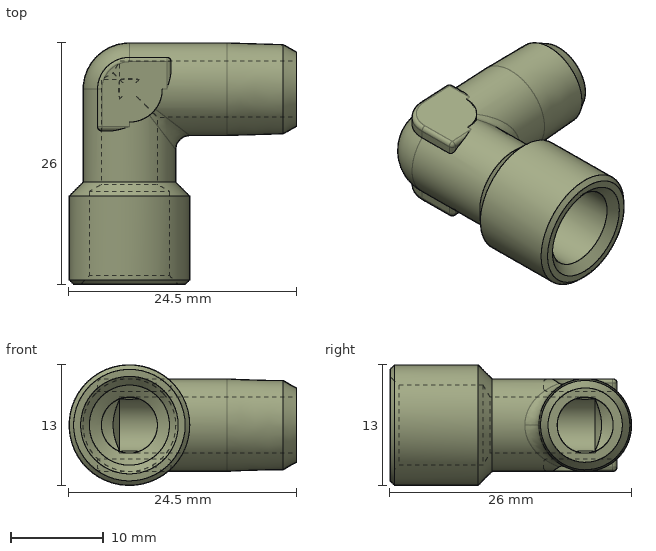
import cadquery as cq
import math

body_radius = 5.0
inner_corner_radius = 1.5

overall_length = 26.0
socket_end = overall_length - body_radius
socket_radius = 6.5
shoulder_start = 10.01
shoulder_length = socket_radius - body_radius
rim_chamfer = 0.5
mouth_radius = 5.25
socket_bore_radius = 4.32
countersink_depth = 0.94
socket_depth = 10.01

spigot_end = 18.0
taper_start = 10.5
spigot_collar_length = 0.5
taper_end = 16.57
taper_end_radius = 4.8
spigot_tip_radius = 4.0

bore_radius = 3.02
bore_overrun = 1.05
drill_tip_angle = 120.0

pad_half_width = 3.43
pad_reach = 4.5
pad_edge_radius = 0.47
pad_inner_radius = 3.55


def along_x(profile):
    """Revolve (distance, radius) points about the X axis."""
    return cq.Workplane("XY").polyline(profile).close().revolve(360, (0, 0, 0), (1, 0, 0))


def along_minus_y(profile):
    """Revolve (distance, radius) points about the Y axis, with distance measured towards -Y."""
    points = [(radius, -distance) for distance, radius in profile]
    return cq.Workplane("XY").polyline(points).close().revolve(360, (0, 0, 0), (0, 1, 0))


def make_pad():
    """Upper pad: rounded outer rim, with a plain quarter-disc wall inside the elbow."""
    side = pad_half_width + pad_reach
    center = (pad_reach - pad_half_width) / 2
    pad = cq.Workplane("XY").center(center, -center).rect(side, side).extrude(body_radius)
    pad = pad.edges("|Z").edges("<X and >Y").fillet(pad_half_width)
    pad = pad.edges("|Z").edges(">X or <Y").fillet(pad_edge_radius)
    pad = pad.faces(">Z").edges().fillet(pad_edge_radius)
    inner_quadrant = cq.Workplane("XY").box(side, side, body_radius, centered=False)
    inner_quadrant = inner_quadrant.translate((0, -side, 0))
    inner_disc = cq.Workplane("XY").circle(pad_inner_radius).extrude(body_radius)
    return pad.cut(inner_quadrant).union(inner_disc.intersect(inner_quadrant))


def make_body():
    """Two equal arms joined by a ball corner, with pads and a rounded inner corner."""
    spigot_start = taper_start - spigot_collar_length
    arm_x = along_x([(0, 0), (0, body_radius), (spigot_start, body_radius), (spigot_start, 0)])
    arm_y = along_minus_y([(0, 0), (0, body_radius), (shoulder_start, body_radius), (shoulder_start, 0)])
    corner = cq.Workplane("XY").sphere(body_radius)
    pad = make_pad()
    body = arm_x.union(arm_y).union(corner).union(pad).union(pad.mirror("XY"))
    near_corner = cq.selectors.BoxSelector(
        (pad_inner_radius, -pad_inner_radius, -body_radius / 2),
        (body_radius, -body_radius, body_radius / 2),
    )
    return body.edges(near_corner).fillet(inner_corner_radius)


def make_socket():
    return along_minus_y([
        (shoulder_start, 0),
        (shoulder_start, body_radius),
        (shoulder_start + shoulder_length, socket_radius),
        (socket_end - rim_chamfer, socket_radius),
        (socket_end, socket_radius - rim_chamfer),
        (socket_end, 0),
    ])


def make_spigot():
    return along_x([
        (taper_start - spigot_collar_length, 0),
        (taper_start - spigot_collar_length, body_radius),
        (taper_start, body_radius),
        (taper_end, taper_end_radius),
        (spigot_end, spigot_tip_radius),
        (spigot_end, 0),
    ])


def drill_tip_length(radius_change):
    return radius_change / math.tan(math.radians(drill_tip_angle / 2))


def make_passage():
    bore_tip = -bore_overrun - drill_tip_length(bore_radius)
    floor_cone = drill_tip_length(socket_bore_radius - bore_radius)
    socket_floor = socket_end - socket_depth
    socket_bore = along_minus_y([
        (bore_tip, 0),
        (-bore_overrun, bore_radius),
        (socket_floor - floor_cone, bore_radius),
        (socket_floor, socket_bore_radius),
        (socket_end - countersink_depth, socket_bore_radius),
        (socket_end, mouth_radius),
        (socket_end, 0),
    ])
    spigot_bore = along_x([
        (bore_tip, 0),
        (-bore_overrun, bore_radius),
        (spigot_end, bore_radius),
        (spigot_end, 0),
    ])
    return socket_bore.union(spigot_bore)


result = make_body().union(make_socket()).union(make_spigot()).cut(make_passage())